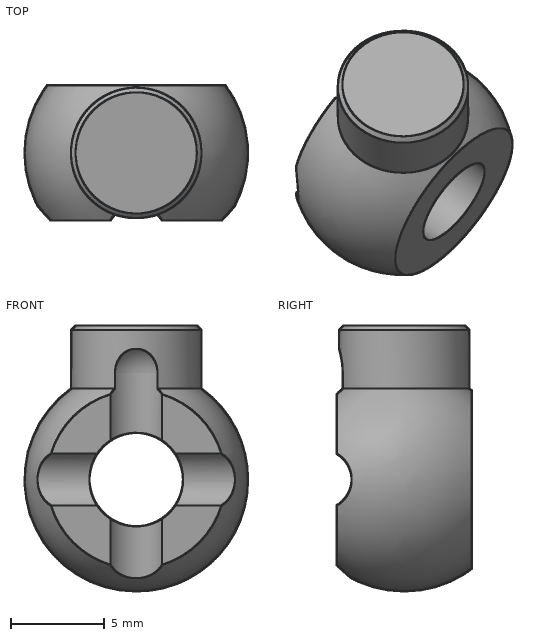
import cadquery as cq

ball_radius = 6.0
body_thickness = 7.26
bore_diameter = 5.0
stem_diameter = 7.0
stem_top = 8.27
stem_chamfer = 0.25
groove_radius = 1.6
groove_depth = 0.8
groove_end_height = 5.71

front_y = -body_thickness / 2
groove_axis_y = front_y - groove_radius + groove_depth
ball_diameter = 2 * ball_radius


def make_flattened_ball():
    """Ball trimmed to two parallel flats facing -Y and +Y."""
    slab = cq.Workplane("XY").box(ball_diameter, body_thickness, ball_diameter)
    return cq.Workplane("XY").sphere(ball_radius).intersect(slab)


def make_stem():
    """Round upright stem starting at the ball centre, chamfered on top."""
    stem = cq.Workplane("XY").circle(stem_diameter / 2).extrude(stem_top)
    return stem.faces(">Z").chamfer(stem_chamfer)


def make_bore():
    """Through hole along Y, running from flat to flat."""
    return cq.Workplane("XZ").circle(bore_diameter / 2).extrude(body_thickness / 2, both=True)


def make_level_groove():
    """Groove cutter along X, open at both ends."""
    profile = cq.Workplane("YZ").center(groove_axis_y, 0).circle(groove_radius)
    return profile.extrude(ball_radius, both=True)


def make_upright_groove():
    """Groove cutter along Z, open at the bottom and ending in a ball shape in the stem."""
    profile = cq.Workplane("XY", origin=(0, groove_axis_y, -ball_radius)).circle(groove_radius)
    channel = profile.extrude(ball_radius + groove_end_height)
    end_centre = (0, groove_axis_y, groove_end_height)
    return channel.union(cq.Workplane("XY", origin=end_centre).sphere(groove_radius))


body = make_flattened_ball().union(make_stem())
result = body.cut(make_bore()).cut(make_level_groove()).cut(make_upright_groove())